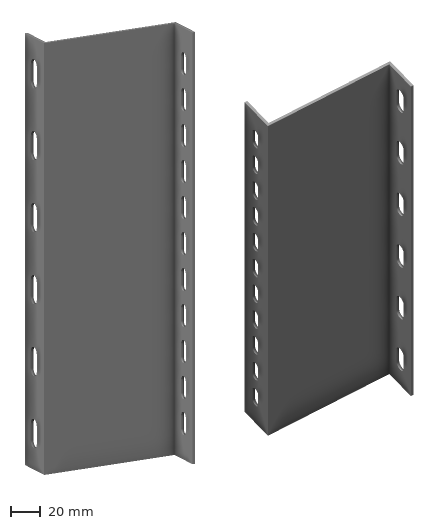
import cadquery as cq

length = 300.0
overall_width = 52.0
overall_depth = 101.0
thickness = 2.0

flange_reach = (overall_width - thickness) / 2
half_web = thickness / 2
half_width = overall_width / 2
half_depth = overall_depth / 2

slot_x = half_web + flange_reach / 2
front_slot_count = 6
front_slot_length = 20.0
front_slot_width = 8.5
back_slot_count = 11
back_slot_length = 16.0
back_slot_width = 6.5
front_slot_pitch = length / front_slot_count
back_slot_pitch = front_slot_pitch / 2


def make_profile():
    """Extrude the Z-shaped section along the rail."""
    inner_y = half_depth - thickness
    outline = [
        (-half_width, -half_depth),
        (half_web, -half_depth),
        (half_web, inner_y),
        (half_width, inner_y),
        (half_width, half_depth),
        (-half_web, half_depth),
        (-half_web, -inner_y),
        (-half_width, -inner_y),
    ]
    return cq.Workplane("XY").polyline(outline).close().extrude(length).translate((0, 0, -length / 2))


def make_slot_row(x, flange_y, count, pitch, slot_length, slot_width):
    """Row of round-ended cutters through a flange centred at flange_y."""
    first_z = -pitch * (count - 1) / 2
    centres = [(x, first_z + i * pitch) for i in range(count)]
    return (
        cq.Workplane("XZ", origin=(0, flange_y, 0))
        .pushPoints(centres)
        .slot2D(slot_length, slot_width, 90)
        .extrude(thickness, both=True)
    )


flange_y = half_depth - thickness / 2
front_slots = make_slot_row(
    -slot_x, -flange_y, front_slot_count, front_slot_pitch, front_slot_length, front_slot_width
)
back_slots = make_slot_row(
    slot_x, flange_y, back_slot_count, back_slot_pitch, back_slot_length, back_slot_width
)

result = make_profile().cut(front_slots).cut(back_slots)